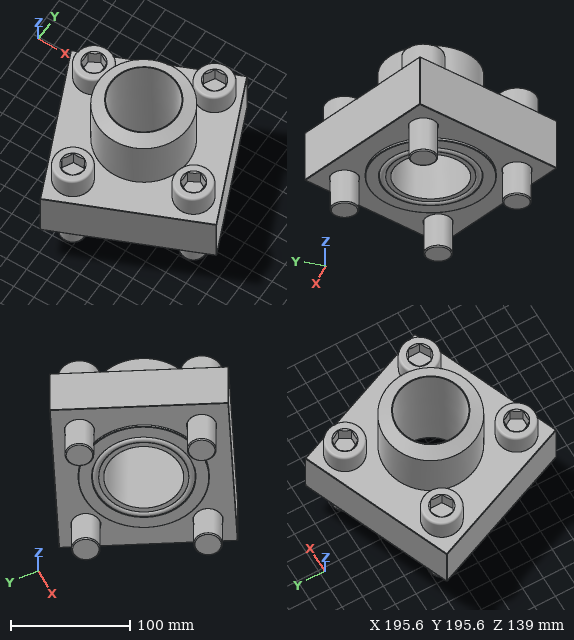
import cadquery as cq
import math

overall_width = 195.6
turn_angle = 22.5
block_height = 48.0
edge_chamfer = 0.5
turn = math.radians(turn_angle)
block_side = (overall_width + 2 * edge_chamfer * math.sin(turn)) / (math.cos(turn) + math.sin(turn))

neck_diameter = 88.8
neck_height = 59.0
neck_land_diameter = 65.5
weld_bevel_angle = 30.0
neck_top = block_height + neck_height
bevel_height = (neck_diameter - neck_land_diameter) / 2 * math.tan(math.radians(weld_bevel_angle))

face_diameter = 110.0
face_height = 2.3
groove_inner_diameter = 75.5
groove_outer_diameter = 87.3

bore_diameter = 64.0
straight_bore_depth = 29.5
port_diameter = 67.0

ring_section = 5.3
ring_projection = 1.4
ring_center_diameter = groove_inner_diameter + ring_section
groove_depth = ring_section - ring_projection

screw_count = 4
screw_spacing = 102.5
screw_circle_radius = screw_spacing / math.sqrt(2)
first_screw_angle = 45.0 + turn_angle
screw_hole_diameter = 25.0
shank_diameter = 24.0
shank_length = 80.0
shank_chamfer = 1.0
head_diameter = 36.0
head_height = 24.0
head_fillet = 2.3
socket_sides = 6
socket_corner_diameter = 22.0
socket_depth = 14.7
socket_lead_in_angle = 45.0


def screw_angles():
    return [first_screw_angle + index * 360.0 / screw_count for index in range(screw_count)]


def make_neck():
    """Plain cylinder with a weld bevel around its top."""
    radius = neck_diameter / 2
    return (
        cq.Workplane("XZ")
        .moveTo(0, block_height)
        .lineTo(radius, block_height)
        .lineTo(radius, neck_top - bevel_height)
        .lineTo(neck_land_diameter / 2, neck_top)
        .lineTo(0, neck_top)
        .close()
        .revolve(360, (0, 0), (0, 1))
    )


def make_bore():
    """Through bore: cylinder in the neck, cone down to the sealing face."""
    straight_end = neck_top - straight_bore_depth
    return (
        cq.Workplane("XZ")
        .moveTo(0, -face_height)
        .lineTo(port_diameter / 2, -face_height)
        .lineTo(bore_diameter / 2, straight_end)
        .lineTo(bore_diameter / 2, neck_top)
        .lineTo(0, neck_top)
        .close()
        .revolve(360, (0, 0), (0, 1))
    )


def make_ring_groove():
    return (
        cq.Workplane("XY", origin=(0, 0, -face_height))
        .circle(groove_outer_diameter / 2)
        .circle(groove_inner_diameter / 2)
        .extrude(groove_depth)
    )


def make_flange():
    """Block, weld neck and sealing face in one piece, with bore, groove and screw holes."""
    block = (
        cq.Workplane("XY")
        .rect(block_side, block_side)
        .extrude(block_height)
        .edges()
        .chamfer(edge_chamfer)
        .rotate((0, 0, 0), (0, 0, 1), turn_angle)
    )
    sealing_face = (
        cq.Workplane("XY")
        .circle(face_diameter / 2)
        .extrude(-face_height)
        .faces("<Z")
        .chamfer(edge_chamfer)
    )
    screw_holes = (
        cq.Workplane("XY")
        .polarArray(screw_circle_radius, first_screw_angle, 360, screw_count)
        .circle(screw_hole_diameter / 2)
        .extrude(block_height)
    )
    return (
        block.union(make_neck())
        .union(sealing_face)
        .cut(make_bore())
        .cut(make_ring_groove())
        .cut(screw_holes)
    )


def make_sealing_ring():
    """Torus resting on the floor and the inner wall of the groove."""
    center_height = ring_section / 2 - face_height - ring_projection
    return (
        cq.Workplane("XZ")
        .center(ring_center_diameter / 2, center_height)
        .circle(ring_section / 2)
        .revolve(360, (-ring_center_diameter / 2, 0), (-ring_center_diameter / 2, 1))
    )


def make_socket():
    """Hexagonal recess with a conical lead-in through the corners of the hexagon."""
    hexagon = (
        cq.Workplane("XY", origin=(0, 0, head_height - socket_depth))
        .polygon(socket_sides, socket_corner_diameter)
        .extrude(socket_depth)
    )
    lead_in_radius = socket_corner_diameter / 2
    lead_in_depth = lead_in_radius * math.tan(math.radians(socket_lead_in_angle))
    lead_in = (
        cq.Workplane("XZ")
        .moveTo(0, head_height)
        .lineTo(lead_in_radius, head_height)
        .lineTo(0, head_height - lead_in_depth)
        .close()
        .revolve(360, (0, 0), (0, 1))
    )
    return hexagon.union(lead_in)


def make_screw(angle):
    """Socket head screw seated on top of the block at the given angle around Z."""
    head = cq.Workplane("XY").circle(head_diameter / 2).extrude(head_height).edges().fillet(head_fillet)
    shank = (
        cq.Workplane("XY")
        .circle(shank_diameter / 2)
        .extrude(-shank_length)
        .faces("<Z")
        .chamfer(shank_chamfer)
    )
    screw = head.union(shank).cut(make_socket()).rotate((0, 0, 0), (0, 0, 1), -first_screw_angle)
    return screw.translate((screw_circle_radius, 0, block_height)).rotate((0, 0, 0), (0, 0, 1), angle)


flange = make_flange()
sealing_ring = make_sealing_ring()
screws = [make_screw(angle) for angle in screw_angles()]

result = cq.Compound.makeCompound(
    [flange.val(), sealing_ring.val(), *[screw.val() for screw in screws]]
)